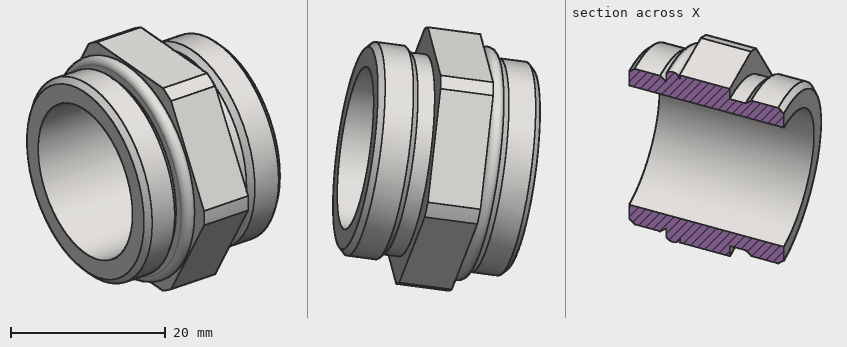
import cadquery as cq
import math

front_length = 5.1
ring_diameter = 1.95
hex_length = 6.95
neck_length = 2.2
total_length = 21.5
ring_end = front_length + ring_diameter
hex_end = ring_end + hex_length
neck_end = hex_end + neck_length

bore_radius = 10.6
thread_radius = 13.95
chamfer = 0.77
root_radius = thread_radius - chamfer
ring_outer_diameter = 30.5
ring_outer_radius = ring_outer_diameter / 2
hex_across_flats = 30.0
turned_corner_radius = 16.75


def cylinder(radius, start, end):
    """Solid cylinder on the Y axis between two stations."""
    return cq.Workplane("XZ", origin=(0, start, 0)).circle(radius).extrude(start - end)


def threaded_collar(start, end):
    """Plain thread envelope, chamfered at both ends."""
    return cylinder(thread_radius, start, end).edges("%CIRCLE").chamfer(chamfer)


def hex_nut():
    """Hexagon with flats at top and bottom and turned-down corners."""
    diameter_across_corners = hex_across_flats / math.cos(math.pi / 6)
    hexagon = (
        cq.Workplane("XZ", origin=(0, ring_end, 0))
        .polygon(6, diameter_across_corners)
        .extrude(-hex_length)
    )
    return hexagon.intersect(cylinder(turned_corner_radius, ring_end, hex_end))


def sealing_ring():
    """Ring with flat sides and a half-round rim, between the front collar and the hexagon."""
    ring_radius = ring_diameter / 2
    round_start = ring_outer_radius - ring_radius
    return (
        cq.Workplane("XY")
        .moveTo(0, front_length)
        .lineTo(round_start, front_length)
        .threePointArc((ring_outer_radius, front_length + ring_radius), (round_start, ring_end))
        .lineTo(0, ring_end)
        .close()
        .revolve(360, (0, 0), (0, 1))
    )


core = cylinder(root_radius, 0, total_length)
body = (
    core.union(threaded_collar(0, front_length))
    .union(threaded_collar(neck_end, total_length))
    .union(hex_nut())
    .union(sealing_ring())
)
result = body.cut(cylinder(bore_radius, 0, total_length))